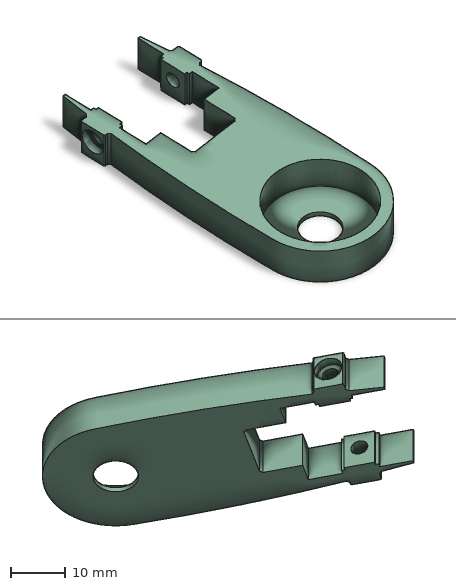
import cadquery as cq

length = 67.5
thickness = 7.8
end_radius = 13.5
end_x = length - end_radius
max_half_width = 13.65
widest_x = 43.2

arm_inner_y = 10.05
opening_x = 20.0
notch_x = 28.1
notch_half_width = 6.0
notch_corner_chamfer = 0.55

tip_outer_y = 10.65
tip_root_y = 11.4

block_start_x = 6.95
block_end_x = 12.8
block_inner_y = 8.65
block_outer_y = 13.5
block_corner_chamfer = 0.2
shoulder_length = 0.6
shoulder_inner_y = 9.25
tip_root_chamfer_length = 0.5
tip_root_chamfer_rise = 0.55
arm_root_chamfer = 0.5
arm_root_y = 12.3

screw_x = (block_start_x + block_end_x) / 2
screw_z = 4.4
screw_diameter = 3.2
screw_head_diameter = 5.2
screw_head_depth = 1.75

pocket_diameter = 22.2
pocket_depth = 6.8
bore_diameter = 8.4


def make_half_body():
    """Extrude the +Y half of the body, from the centre plane to the outer edge."""
    profile = (
        cq.Workplane("XY")
        .moveTo(notch_x, 0)
        .lineTo(notch_x, notch_half_width - notch_corner_chamfer)
        .lineTo(notch_x - notch_corner_chamfer, notch_half_width)
        .lineTo(opening_x, notch_half_width)
        .lineTo(opening_x, arm_inner_y)
        .lineTo(block_end_x + shoulder_length, arm_inner_y)
        .lineTo(block_end_x + shoulder_length, shoulder_inner_y)
        .lineTo(block_end_x, shoulder_inner_y)
        .lineTo(block_end_x, block_inner_y)
        .lineTo(block_start_x, block_inner_y)
        .lineTo(block_start_x, shoulder_inner_y)
        .lineTo(block_start_x - shoulder_length, shoulder_inner_y)
        .lineTo(block_start_x - shoulder_length, arm_inner_y)
        .lineTo(0, arm_inner_y)
        .lineTo(0, tip_outer_y)
        .lineTo(block_start_x - tip_root_chamfer_length, tip_root_y)
        .lineTo(block_start_x, tip_root_y + tip_root_chamfer_rise)
        .lineTo(block_start_x, block_outer_y - block_corner_chamfer)
        .lineTo(block_start_x + block_corner_chamfer, block_outer_y)
        .lineTo(block_end_x - block_corner_chamfer, block_outer_y)
        .lineTo(block_end_x, block_outer_y - block_corner_chamfer)
        .lineTo(block_end_x, arm_root_y + arm_root_chamfer)
        .lineTo(block_end_x + arm_root_chamfer, arm_root_y)
        .threePointArc((widest_x, max_half_width), (end_x, end_radius))
        .radiusArc((length, 0), end_radius)
        .close()
    )
    return profile.extrude(thickness)


def make_body():
    half = make_half_body()
    return half.union(half.mirror("XZ"))


def y_cylinder(diameter, start_y, end_y):
    """Cylinder on the screw axis between two Y positions."""
    return cq.Workplane(
        cq.Solid.makeCylinder(
            diameter / 2, end_y - start_y, cq.Vector(screw_x, start_y, screw_z), cq.Vector(0, 1, 0)
        )
    )


def cut_screw_holes(body):
    """Cut the through holes and the head recesses in both outer faces."""
    recess_floor_y = block_outer_y - screw_head_depth
    body = body.cut(y_cylinder(screw_diameter, -block_outer_y, block_outer_y))
    body = body.cut(y_cylinder(screw_head_diameter, recess_floor_y, block_outer_y))
    return body.cut(y_cylinder(screw_head_diameter, -block_outer_y, -recess_floor_y))


def cut_pocket(body):
    """Cut the round pocket from the top face and the bore through its floor."""
    return (
        body.faces(">Z")
        .workplane(origin=(end_x, 0, thickness))
        .cboreHole(bore_diameter, pocket_diameter, pocket_depth)
    )


result = cut_pocket(cut_screw_holes(make_body()))